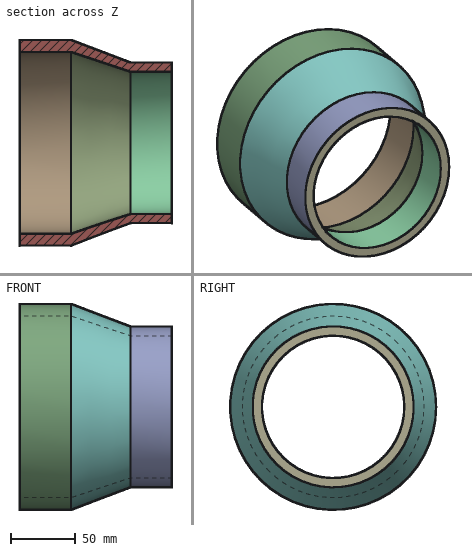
import cadquery as cq

wide_diameter = 160.0
wide_bore = 141.0
narrow_diameter = 125.0
narrow_bore = 110.2

wide_length = 40.0
taper_length = 46.0
narrow_length = 32.0

taper_start = wide_length
taper_end = taper_start + taper_length
total_length = taper_end + narrow_length


def stepped_cone(start_diameter, end_diameter):
    """Solid of two coaxial cylinders joined by a cone, revolved about X."""
    start_radius = start_diameter / 2
    end_radius = end_diameter / 2
    return (
        cq.Workplane("XY")
        .moveTo(0, 0)
        .lineTo(0, start_radius)
        .lineTo(taper_start, start_radius)
        .lineTo(taper_end, end_radius)
        .lineTo(total_length, end_radius)
        .lineTo(total_length, 0)
        .close()
        .revolve(360, (0, 0, 0), (1, 0, 0))
    )


outer_body = stepped_cone(wide_diameter, narrow_diameter)
bore = stepped_cone(wide_bore, narrow_bore)

result = outer_body.cut(bore)